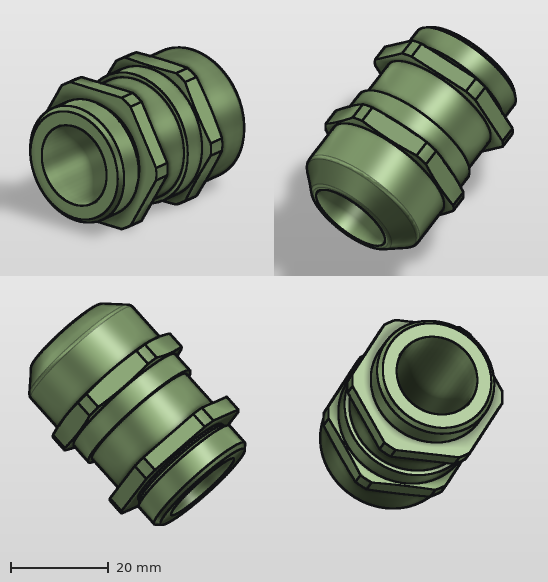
import cadquery as cq
import math

total_length = 42.0
bore_diameter = 17.2
hex_across_flats = 29.0
hex_across_corners = 32.0

thread_diameter = 25.0
thread_tip_diameter = 23.15
thread_chamfer_length = 0.92
thread_end = 5.63
neck_diameter = 23.0
neck_start = 6.45

body_hex_start = 7.0
body_hex_end = 10.6
body_diameter = 26.0

nut_start = 19.55
nut_diameter = 28.0
nut_hex_start = 24.1
nut_hex_end = 28.6
nut_hex_bevel = 0.4

dome_start = 37.75
dome_tip_diameter = 19.55
shoulder_radius = 1.1
tip_radius = 1.0
selection_margin = 0.05


def revolved(profile):
    """Revolve (radius, y) points about the Y axis."""
    return cq.Workplane("XY").polyline(profile).close().revolve(360, (0, 0, 0), (0, 1, 0))


def rounded_hexagon(start, end):
    """Hexagon along Y with flats at top and bottom and corners rounded by a cylinder."""
    plane = cq.Workplane("XZ", origin=(0, start, 0))
    sharp_corners = hex_across_flats / math.cos(math.pi / 6)
    prism = plane.polygon(6, sharp_corners).extrude(start - end)
    return prism.intersect(plane.circle(hex_across_corners / 2).extrude(start - end))


def bevelled_hexagon(start, end, bevel):
    """Rounded hexagon whose corners slope down to the nut diameter on both faces."""
    face_radius = nut_diameter / 2
    corner_radius = hex_across_corners / 2
    envelope = revolved([
        (0, start),
        (face_radius, start),
        (corner_radius, start + bevel),
        (corner_radius, end - bevel),
        (face_radius, end),
        (0, end),
    ])
    return rounded_hexagon(start, end).intersect(envelope)


turned_body = revolved([
    (0, 0),
    (thread_tip_diameter / 2, 0),
    (thread_diameter / 2, thread_chamfer_length),
    (thread_diameter / 2, thread_end),
    (neck_diameter / 2, neck_start),
    (neck_diameter / 2, body_hex_end),
    (body_diameter / 2, body_hex_end),
    (body_diameter / 2, nut_start),
    (nut_diameter / 2, nut_start),
    (nut_diameter / 2, dome_start),
    (dome_tip_diameter / 2, total_length),
    (0, total_length),
])

turned_body = turned_body.faces(">Y").edges().fillet(tip_radius)
shoulder = cq.selectors.BoxSelector(
    (-nut_diameter, dome_start - selection_margin, -nut_diameter),
    (nut_diameter, dome_start + selection_margin, nut_diameter),
    boundingbox=True,
)
turned_body = turned_body.edges(shoulder).fillet(shoulder_radius)

body_flange = rounded_hexagon(body_hex_start, body_hex_end)
nut_flange = bevelled_hexagon(nut_hex_start, nut_hex_end, nut_hex_bevel)
bore = cq.Workplane("XZ").circle(bore_diameter / 2).extrude(-total_length)

result = turned_body.union(body_flange).union(nut_flange).cut(bore)